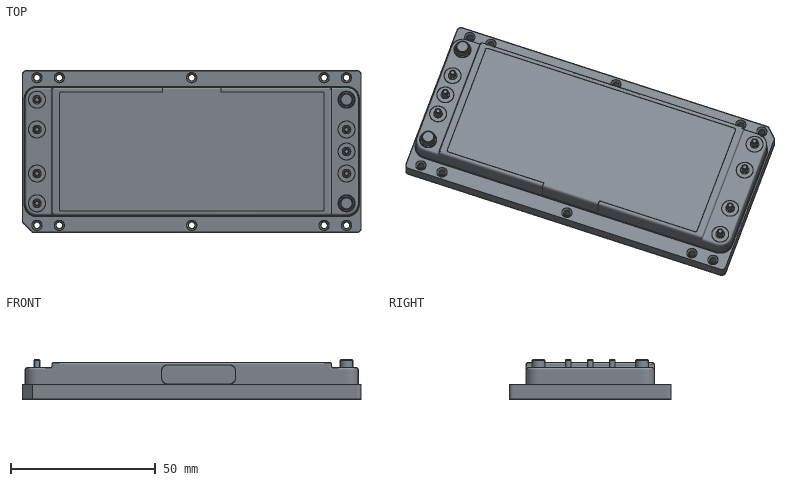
import cadquery as cq

PLATE_LENGTH = 116.8
PLATE_WIDTH = 55.8
PLATE_THICKNESS = 5.3
PLATE_CORNER_RADIUS = 1.4
KEY_CHAMFER = 3.5

HOLE_COLUMNS = (-53.4, -45.7, 0, 45.7, 53.4)
HOLE_ROW = 25.5
HOLE_DIAMETER = 2.2
COUNTERSINK_DIAMETER = 3.5
COUNTERSINK_ANGLE = 90.0

HOUSING_LENGTH = 115.0
HOUSING_WIDTH = 44.3
HOUSING_CORNER_RADIUS = 4.1
LEDGE_Z = 11.0
HOUSING_TOP_Z = 12.7
BLOCK_LENGTH = 96.5
EDGE_RADIUS = 0.8
BLOCK_END_RADIUS = 0.7
STEP_RADIUS = 0.5
SELECT_MARGIN = 0.1

SEAM_WIDTH = 0.4
SEAM_DEPTH = 0.1

TERMINAL_X = 53.4
PIN_TOP_Z = 13.8
INPUT_ROWS = (-17.9, -7.6, 7.6, 17.9)
SIGNAL_ROWS = (-7.6, 0, 7.6)
OUTPUT_ROWS = (-17.9, 17.9)
SMALL_PIN_DIAMETER = 2.0
LARGE_PIN_DIAMETER = 4.4
PIN_CHAMFER = 0.29
COLLAR_WIDTH = 0.5
COLLAR_HEIGHT = 0.1
SEAL_DIAMETER = 5.8
SEAL_HEIGHT = 0.06

LABEL_THICKNESS = 0.06
TOP_LABEL_LENGTH = 91.4
TOP_LABEL_WIDTH = 41.1
TOP_LABEL_CORNER_RADIUS = 0.7
TAB_LENGTH = 20.3
SIDE_LABEL_LENGTH = 25.5
SIDE_LABEL_CENTER_X = 2.3
SIDE_LABEL_CORNER_RADIUS = 2.0
SIDE_LABEL_GAP = 0.1
SIDE_LABEL_BOTTOM_Z = PLATE_THICKNESS + SIDE_LABEL_GAP
SIDE_LABEL_TOP_Z = HOUSING_TOP_Z - EDGE_RADIUS


def make_plate():
    plate = cq.Workplane("XY").box(
        PLATE_LENGTH, PLATE_WIDTH, PLATE_THICKNESS, centered=(True, True, False)
    )
    plate = plate.edges("|Z and <X and <Y").chamfer(KEY_CHAMFER)
    plate = plate.edges("|Z and (>X or >Y)").fillet(PLATE_CORNER_RADIUS)
    hole_points = [(x, y) for x in HOLE_COLUMNS for y in (-HOLE_ROW, HOLE_ROW)]
    return (
        plate.faces(">Z").workplane(origin=(0, 0, PLATE_THICKNESS))
        .pushPoints(hole_points)
        .cskHole(HOLE_DIAMETER, COUNTERSINK_DIAMETER, COUNTERSINK_ANGLE)
    )


def cut_seam(plate):
    seam = (
        cq.Workplane("XY", origin=(0, 0, PLATE_THICKNESS - SEAM_DEPTH))
        .rect(HOUSING_LENGTH + 2 * SEAM_WIDTH, HOUSING_WIDTH + 2 * SEAM_WIDTH).extrude(SEAM_DEPTH)
        .edges("|Z").fillet(HOUSING_CORNER_RADIUS + SEAM_WIDTH)
    )
    return plate.cut(seam)


def make_housing():
    foot_z = PLATE_THICKNESS - SEAM_DEPTH
    housing = (
        cq.Workplane("XY").workplane(offset=foot_z)
        .rect(HOUSING_LENGTH, HOUSING_WIDTH).extrude(LEDGE_Z - foot_z)
        .edges("|Z").fillet(HOUSING_CORNER_RADIUS)
    )
    block = (
        cq.Workplane("XY").workplane(offset=foot_z)
        .rect(BLOCK_LENGTH, HOUSING_WIDTH).extrude(HOUSING_TOP_Z - foot_z)
    )
    housing = housing.union(block)
    step_line = cq.selectors.BoxSelector(
        (-BLOCK_LENGTH, -HOUSING_WIDTH, LEDGE_Z - SELECT_MARGIN),
        (BLOCK_LENGTH, HOUSING_WIDTH, LEDGE_Z + SELECT_MARGIN),
    )
    inner_corners = housing.edges(step_line).edges("|Y").edges("not(<X or >X)")
    housing = inner_corners.fillet(STEP_RADIUS)
    upper_band = cq.selectors.BoxSelector(
        (-HOUSING_LENGTH, -HOUSING_WIDTH, LEDGE_Z - SELECT_MARGIN),
        (HOUSING_LENGTH, HOUSING_WIDTH, HOUSING_TOP_Z + SELECT_MARGIN),
    )
    outer_edges = housing.edges(upper_band).edges("(not |Y) or <X or >X")
    housing = outer_edges.fillet(EDGE_RADIUS)
    return housing.edges("|Y and >Z").fillet(BLOCK_END_RADIUS)


def cylinder(x, y, bottom_z, top_z, diameter):
    return cq.Workplane("XY", origin=(x, y, bottom_z)).circle(diameter / 2).extrude(top_z - bottom_z)


def make_terminal(x, y, diameter):
    """A chamfered pin standing on a low collar in the middle of a round seal."""
    pin = cylinder(x, y, PLATE_THICKNESS, PIN_TOP_Z, diameter).faces(">Z").chamfer(PIN_CHAMFER)
    collar_diameter = diameter + 2 * COLLAR_WIDTH
    collar = cylinder(x, y, PLATE_THICKNESS, LEDGE_Z + COLLAR_HEIGHT, collar_diameter)
    seal = cylinder(x, y, PLATE_THICKNESS, LEDGE_Z + SEAL_HEIGHT, SEAL_DIAMETER)
    return seal.union(collar).union(pin)


def make_label_blanket():
    """The raised block grown by the label thickness, from which the labels are trimmed."""
    return (
        cq.Workplane("XY", origin=(0, 0, PLATE_THICKNESS))
        .rect(TOP_LABEL_LENGTH, HOUSING_WIDTH + 2 * LABEL_THICKNESS)
        .extrude(HOUSING_TOP_Z + LABEL_THICKNESS - PLATE_THICKNESS)
        .edges("|X and >Z").fillet(EDGE_RADIUS + LABEL_THICKNESS)
    )


def make_labels():
    half_width = HOUSING_WIDTH / 2
    label_height = SIDE_LABEL_TOP_Z - SIDE_LABEL_BOTTOM_Z
    top_outline = (
        cq.Workplane("XY", origin=(0, 0, LEDGE_Z))
        .rect(TOP_LABEL_LENGTH, TOP_LABEL_WIDTH).extrude(PIN_TOP_Z - LEDGE_Z)
        .edges("|Z").fillet(TOP_LABEL_CORNER_RADIUS)
    )
    tab_outline = cq.Workplane("XY", origin=(0, half_width / 2, SIDE_LABEL_BOTTOM_Z)).box(
        TAB_LENGTH, HOUSING_WIDTH, PIN_TOP_Z - SIDE_LABEL_BOTTOM_Z, centered=(True, True, False)
    )
    side_outline = (
        cq.Workplane("XZ", origin=(SIDE_LABEL_CENTER_X, 0, SIDE_LABEL_BOTTOM_Z + label_height / 2))
        .rect(SIDE_LABEL_LENGTH, label_height).extrude(HOUSING_WIDTH)
        .edges("|Y").fillet(SIDE_LABEL_CORNER_RADIUS)
    )
    return make_label_blanket().intersect(top_outline.union(tab_outline).union(side_outline))


terminals = (
    [(-TERMINAL_X, y, SMALL_PIN_DIAMETER) for y in INPUT_ROWS]
    + [(TERMINAL_X, y, SMALL_PIN_DIAMETER) for y in SIGNAL_ROWS]
    + [(TERMINAL_X, y, LARGE_PIN_DIAMETER) for y in OUTPUT_ROWS]
)

result = cut_seam(make_plate()).union(make_housing()).union(make_labels())
for terminal_x, terminal_y, pin_diameter in terminals:
    result = result.union(make_terminal(terminal_x, terminal_y, pin_diameter))